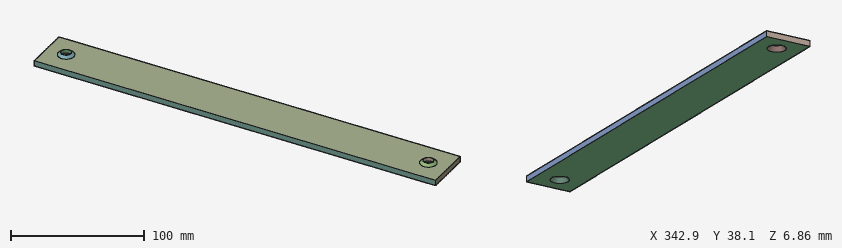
import cadquery as cq
import math

INCH = 25.4

LENGTH = 13.5 * INCH
WIDTH = 1.5 * INCH
THICKNESS = 0.188 * INCH

HOLE_INSET = 0.65625 * INCH
DIMPLE_HEIGHT = 0.082 * INCH
DIMPLE_BASE_DIAMETER = 13.2
DIMPLE_TOP_DIAMETER = 8.2

HOLE_DIAMETER = 0.3125 * INCH
COUNTERSINK_DIAMETER = 0.5675 * INCH
COUNTERSINK_ANGLE = 82.0

OVERALL_HEIGHT = THICKNESS + DIMPLE_HEIGHT
HOLE_OFFSET = LENGTH / 2 - HOLE_INSET
COUNTERSINK_DEPTH = (
    (COUNTERSINK_DIAMETER - HOLE_DIAMETER) / 2 / math.tan(math.radians(COUNTERSINK_ANGLE / 2))
)


def revolve_profile(profile):
    """Revolve a closed (radius, height) outline a full turn about the Z axis."""
    return cq.Workplane("XZ").polyline(profile).close().revolve(360, (0, 0), (0, 1))


def make_strip():
    """Flat rectangular plate resting on Z = 0 and centred in X and Y."""
    return cq.Workplane("XY").box(LENGTH, WIDTH, THICKNESS, centered=(True, True, False))


def make_dimple():
    """Cone frustum standing on the plate's top face."""
    return revolve_profile([
        (0, THICKNESS),
        (DIMPLE_BASE_DIAMETER / 2, THICKNESS),
        (DIMPLE_TOP_DIAMETER / 2, OVERALL_HEIGHT),
        (0, OVERALL_HEIGHT),
    ])


def make_hole():
    """Through hole that widens to a countersink at the plate's underside."""
    hole_radius = HOLE_DIAMETER / 2
    return revolve_profile([
        (0, 0),
        (COUNTERSINK_DIAMETER / 2, 0),
        (hole_radius, COUNTERSINK_DEPTH),
        (hole_radius, OVERALL_HEIGHT),
        (0, OVERALL_HEIGHT),
    ])


result = make_strip()
for hole_x in (-HOLE_OFFSET, HOLE_OFFSET):
    result = result.union(make_dimple().translate((hole_x, 0, 0)))
    result = result.cut(make_hole().translate((hole_x, 0, 0)))